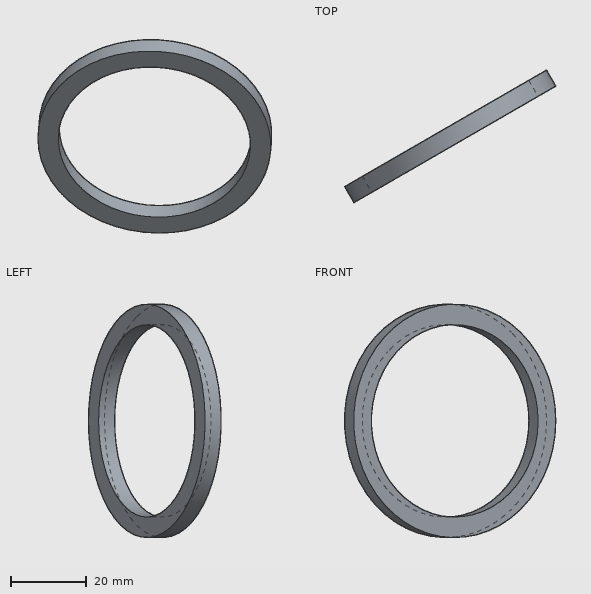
import cadquery as cq

outer_diameter = 61.8
inner_diameter = 50.9
thickness = 4.95
turn_angle = 30.0

ring = (
    cq.Workplane("XZ", origin=(0, thickness / 2, 0))
    .circle(outer_diameter / 2)
    .circle(inner_diameter / 2)
    .extrude(thickness)
)

result = ring.rotate((0, 0, 0), (0, 0, 1), turn_angle)